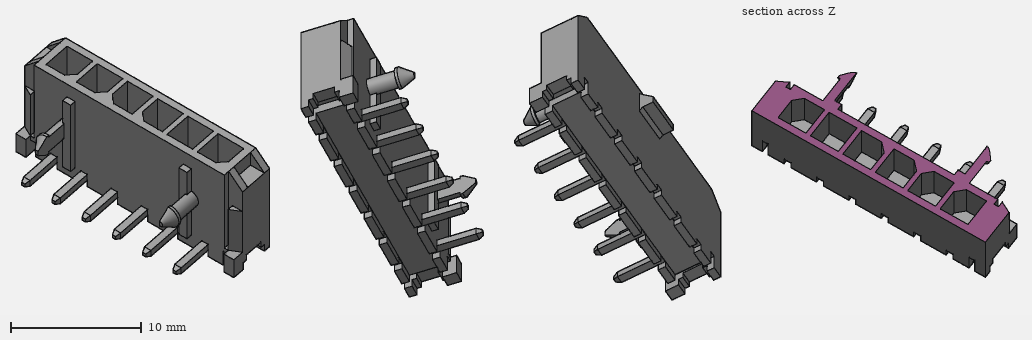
import cadquery as cq

LENGTH = 21.64
HEIGHT = 9.9
DEPTH = 3.83

CONTACT_COUNT = 6
PITCH = 3.0
SOCKET_SIZE = 2.54
SOCKET_FLOOR_Z = 1.95
SOCKET_BEVEL = 0.7
SOCKET_KEYS = (1, 1, -1, -1, 0, 1)
WALL = (DEPTH - SOCKET_SIZE) / 2

REACH = 3.69
PIN_SIZE = 0.64
PIN_BOTTOM_Z = 0.65
PIN_TIP_SIZE = PIN_SIZE / 2
PIN_TAPER = 0.43
PIN_TOP_Z = PIN_BOTTOM_Z + PIN_SIZE
PIN_HEADROOM = 0.03

EAR_WIDTH = 1.38
EAR_SETBACK = 0.53
EAR_SHOULDER_Z = HEIGHT - EAR_WIDTH
FOOT_WIDTH = 1.0
FOOT_HEIGHT = 1.95
STANDOFF = 0.53
WEDGE_TOP_Z = 6.4
EAR_SLOT_WIDTH = 0.52
EAR_SLOT_HEIGHT = 1.51
EAR_WINDOW_WIDTH = 1.78

CHANNEL_HEIGHT = 0.72

RIB_X = 5.77
RIB_WIDTH = 0.8

PEG_X = 6.075
PEG_Z = 5.3
PEG_FLAT_X = 6.02
PEG_RADIUS = 0.8
PEG_BARB_RADIUS = 1.0
PEG_TIP_RADIUS = 0.25
PEG_BARB_START = 2.39
PEG_BARB_END = 2.63

LATCH_WIDTH = 3.09
LATCH_REACH = 1.23
LATCH_TOP_Z = 9.3
LATCH_BOTTOM_Z = 7.35
LATCH_FILLET_LEG = 0.31

END_X = LENGTH / 2
CORE_X = END_X - EAR_WIDTH
FOOT_X = END_X - FOOT_WIDTH
CONTACT_XS = [(i - (CONTACT_COUNT - 1) / 2) * PITCH for i in range(CONTACT_COUNT)]


def block(x_range, y_range, z_range):
    """Axis-aligned box between the given limits."""
    (x0, x1), (y0, y1), (z0, z1) = x_range, y_range, z_range
    return cq.Workplane("XY").box(x1 - x0, y1 - y0, z1 - z0, centered=False).translate((x0, y0, z0))


def both_ends(shape):
    """Shape from the +X end together with its mirror image at the -X end."""
    return shape.union(shape.mirror("YZ"))


def make_ear():
    """Set-back ear with sloped shoulder, top pocket, snap wedge and foot."""
    outline = [(CORE_X, 0), (END_X, 0), (END_X, EAR_SHOULDER_Z), (CORE_X, HEIGHT)]
    ear = (
        cq.Workplane("XZ", origin=(0, DEPTH, 0))
        .polyline(outline)
        .close()
        .extrude(DEPTH - EAR_SETBACK)
    )
    ear = ear.cut(block((CORE_X, END_X), (EAR_SETBACK + WALL, DEPTH - WALL), (EAR_SHOULDER_Z, HEIGHT)))
    wedge = (
        cq.Workplane("XY")
        .polyline([(FOOT_X, 0), (END_X, EAR_SETBACK), (FOOT_X, EAR_SETBACK)])
        .close()
        .extrude(WEDGE_TOP_Z)
    )
    base = block((CORE_X, END_X), (0, EAR_SETBACK), (0, FOOT_HEIGHT))
    foot = block((FOOT_X, END_X), (-STANDOFF, 0), (0, FOOT_HEIGHT))
    return ear.union(wedge).union(base).union(foot)


def make_ear_openings():
    """Slot between ear and housing, with a window through the ear into it."""
    slot = block((FOOT_X - EAR_SLOT_WIDTH, FOOT_X), (0, DEPTH), (0, EAR_SLOT_HEIGHT))
    window_y = (DEPTH - EAR_WINDOW_WIDTH) / 2
    window = block((FOOT_X, END_X), (window_y, DEPTH - window_y), (0, PIN_TOP_Z))
    return slot.union(window)


def make_socket(x, key):
    """Square socket volume, bevelled on one mounting-face corner if keyed."""
    half = SOCKET_SIZE / 2
    socket = block((x - half, x + half), (WALL, DEPTH - WALL), (SOCKET_FLOOR_Z, HEIGHT))
    if key > 0:
        socket = socket.edges("|Z and >X and <Y").chamfer(SOCKET_BEVEL)
    elif key < 0:
        socket = socket.edges("|Z and <X and <Y").chamfer(SOCKET_BEVEL)
    return socket


def make_pin(x):
    """Straight square pin rooted in the front wall, with a tapered tip."""
    half = PIN_SIZE / 2
    shank_end_y = PIN_TAPER - REACH
    shank = block((x - half, x + half), (shank_end_y, WALL), (PIN_BOTTOM_Z, PIN_TOP_Z))
    tip = (
        cq.Workplane("XZ", origin=(x, shank_end_y, PIN_BOTTOM_Z + half))
        .rect(PIN_SIZE, PIN_SIZE)
        .workplane(offset=PIN_TAPER)
        .rect(PIN_TIP_SIZE, PIN_TIP_SIZE)
        .loft(ruled=True)
    )
    return shank.union(tip)


def make_pin_notch(x):
    """Clearance under a pin through both long walls, rising past the pin in the front wall."""
    half = PIN_SIZE / 2
    x_range = (x - half, x + half)
    under_pin = block(x_range, (0, DEPTH), (0, PIN_BOTTOM_Z))
    front_notch = block(x_range, (0, WALL), (0, PIN_TOP_Z + PIN_HEADROOM))
    return under_pin.union(front_notch)


def make_rib():
    """Upright standoff rib on the mounting face."""
    half = RIB_WIDTH / 2
    return block((RIB_X - half, RIB_X + half), (-STANDOFF, 0), (PIN_TOP_Z, EAR_SHOULDER_Z))


def make_peg():
    """Turned snap peg, split by a flat on its inner side."""
    profile = [
        (0, 0),
        (PEG_RADIUS, 0),
        (PEG_RADIUS, -PEG_BARB_START),
        (PEG_BARB_RADIUS, -PEG_BARB_START),
        (PEG_BARB_RADIUS, -PEG_BARB_END),
        (PEG_TIP_RADIUS, -REACH),
        (0, -REACH),
    ]
    peg = cq.Workplane("XY").polyline(profile).close().revolve(360, (0, 0), (0, 1))
    peg = peg.translate((PEG_X, 0, PEG_Z))
    keep = block(
        (PEG_FLAT_X, PEG_X + PEG_BARB_RADIUS),
        (-REACH, 0),
        (PEG_Z - PEG_BARB_RADIUS, PEG_Z + PEG_BARB_RADIUS),
    )
    return peg.intersect(keep)


def make_latch():
    """Ramp on the back with a 45 degree slope and a small corner web below."""
    tip_y = DEPTH + LATCH_REACH
    profile = [
        (DEPTH, LATCH_TOP_Z),
        (tip_y, LATCH_TOP_Z - LATCH_REACH),
        (tip_y, LATCH_BOTTOM_Z),
        (DEPTH + LATCH_FILLET_LEG, LATCH_BOTTOM_Z),
        (DEPTH, LATCH_BOTTOM_Z - LATCH_FILLET_LEG),
    ]
    return cq.Workplane("YZ").polyline(profile).close().extrude(LATCH_WIDTH / 2, both=True)


housing = block((-CORE_X, CORE_X), (0, DEPTH), (0, HEIGHT))
housing = housing.union(both_ends(make_ear()))
housing = housing.cut(block((-END_X, END_X), (WALL, DEPTH - WALL), (0, CHANNEL_HEIGHT)))
housing = housing.cut(both_ends(make_ear_openings()))

for contact_x, socket_key in zip(CONTACT_XS, SOCKET_KEYS):
    housing = housing.cut(make_socket(contact_x, socket_key))
    housing = housing.cut(make_pin_notch(contact_x))
    housing = housing.union(make_pin(contact_x))

housing = housing.union(both_ends(make_rib()))
housing = housing.union(both_ends(make_peg()))
result = housing.union(make_latch())